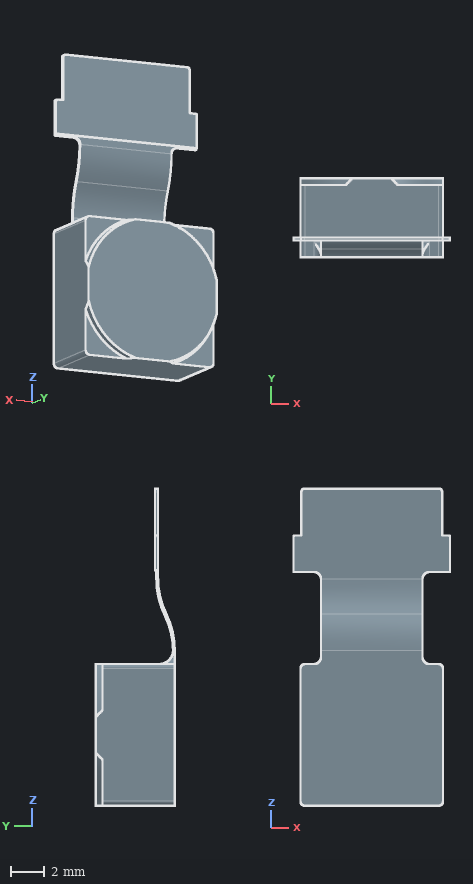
import cadquery as cq
import math

OVERALL_DEPTH = 4.75
OVERALL_HEIGHT = 19.0

BODY_WIDTH = 8.55
BODY_HEIGHT = 8.5
BODY_CORNER_RADIUS = 0.28

BOSS_HEIGHT = 0.42
BOSS_BASE_RADIUS = 4.525
BOSS_TOP_RADIUS = 4.4
BODY_DEPTH = OVERALL_DEPTH - BOSS_HEIGHT

STRIP_WIDTH = 6.1
STRIP_THICKNESS = 0.12
STRIP_OFFSET = 1.0
ROOT_SIDE_RADIUS = 0.4
ROOT_BACK_RADIUS = 0.8
NECK_RADIUS = 0.4

PLATE_WIDTH = 8.45
PLATE_WING_WIDTH = 9.4
PLATE_THICKNESS = 0.2
PLATE_HEIGHT = 5.0
PLATE_WING_HEIGHT = 2.2
PLATE_CORNER_RADIUS = 0.2
WING_CORNER_RADIUS = 0.1
SMALL_CORNER_RADIUS = 0.05
LIP_HEIGHT = 0.1

PLATE_BOTTOM = OVERALL_HEIGHT - PLATE_HEIGHT
BEND_START = BODY_HEIGHT + ROOT_BACK_RADIUS
BEND_END = PLATE_BOTTOM - NECK_RADIUS


def box_between(width, y_min, y_max, z_min, z_max):
    """Box centred on X = 0 between the given Y and Z limits."""
    size_y = y_max - y_min
    size_z = z_max - z_min
    box = cq.Workplane("XY").box(width, size_y, size_z, centered=(True, False, False))
    return box.translate((0, y_min, z_min))


def round_corner_pairs(solid, corners, y_middle):
    """Round mirrored pairs of edges along Y, each pair given as (width, height, radius)."""
    for width, z, radius in corners:
        for x in (-width / 2, width / 2):
            nearest = cq.selectors.NearestToPointSelector((x, y_middle, z))
            solid = solid.edges("|Y").edges(nearest).fillet(radius)
    return solid


def rounded_block(depth):
    """Housing outline with rounded corners, running back from the front face."""
    block = box_between(BODY_WIDTH, 0, depth, 0, BODY_HEIGHT)
    return block.edges("|Y").fillet(BODY_CORNER_RADIUS)


def make_body():
    """Housing block with the tapered boss on its back."""
    cone = cq.Solid.makeCone(
        BOSS_BASE_RADIUS,
        BOSS_TOP_RADIUS,
        BOSS_HEIGHT,
        pnt=cq.Vector(0, BODY_DEPTH, BODY_HEIGHT / 2),
        dir=cq.Vector(0, 1, 0),
    )
    boss = rounded_block(OVERALL_DEPTH).intersect(cq.Workplane(cone))
    return rounded_block(BODY_DEPTH).union(boss)


def make_strip_side_profile():
    """Side section of the strip: root fillet, S-bend and straight end, extruded along X."""
    rise = BEND_END - BEND_START
    middle_radius = (rise**2 + STRIP_OFFSET**2) / (4 * STRIP_OFFSET)
    bend_angle = math.asin(rise / (2 * middle_radius))
    inner_radius = middle_radius - STRIP_THICKNESS / 2
    outer_radius = middle_radius + STRIP_THICKNESS / 2
    lower_centre_y = STRIP_THICKNESS / 2 + middle_radius
    upper_centre_y = lower_centre_y + STRIP_OFFSET - 2 * middle_radius

    def lower_bend(radius, angle):
        return (lower_centre_y - radius * math.cos(angle), BEND_START + radius * math.sin(angle))

    def upper_bend(radius, angle):
        return (upper_centre_y + radius * math.cos(angle), BEND_END - radius * math.sin(angle))

    half_angle = bend_angle / 2
    root_centre_y = STRIP_THICKNESS + ROOT_BACK_RADIUS
    root_mid_offset = ROOT_BACK_RADIUS * math.sqrt(0.5)
    root_mid = (root_centre_y - root_mid_offset, BEND_START - root_mid_offset)
    root_bottom = BODY_HEIGHT - BODY_CORNER_RADIUS
    back_end_y = STRIP_OFFSET + STRIP_THICKNESS

    profile = (
        cq.Workplane("YZ", origin=(-BODY_WIDTH / 2, 0, 0))
        .moveTo(0, root_bottom)
        .lineTo(0, BEND_START)
        .threePointArc(lower_bend(outer_radius, half_angle), lower_bend(outer_radius, bend_angle))
        .threePointArc(upper_bend(inner_radius, half_angle), (STRIP_OFFSET, BEND_END))
        .lineTo(STRIP_OFFSET, PLATE_BOTTOM)
        .lineTo(back_end_y, PLATE_BOTTOM)
        .lineTo(back_end_y, BEND_END)
        .threePointArc(upper_bend(outer_radius, half_angle), upper_bend(outer_radius, bend_angle))
        .threePointArc(lower_bend(inner_radius, half_angle), (STRIP_THICKNESS, BEND_START))
        .threePointArc(root_mid, (root_centre_y, BODY_HEIGHT))
        .lineTo(root_centre_y, root_bottom)
        .close()
    )
    return profile.extrude(BODY_WIDTH)


def make_strip_front_outline():
    """Front outline of the strip with flared ends, extruded back through its full depth."""
    depth = ROOT_BACK_RADIUS + STRIP_OFFSET
    strip = box_between(STRIP_WIDTH, 0, depth, BODY_HEIGHT, PLATE_BOTTOM)
    root_land = box_between(BODY_WIDTH - 2 * BODY_CORNER_RADIUS, 0, depth, 0, BODY_HEIGHT)
    plate_land = box_between(PLATE_WING_WIDTH, 0, depth, PLATE_BOTTOM, OVERALL_HEIGHT)
    outline = strip.union(root_land).union(plate_land)
    corners = (
        (STRIP_WIDTH, BODY_HEIGHT, ROOT_SIDE_RADIUS),
        (STRIP_WIDTH, PLATE_BOTTOM, NECK_RADIUS),
    )
    return round_corner_pairs(outline, corners, depth / 2)


def make_strip():
    """Flexible strip, bounded by its side section and its front outline."""
    return make_strip_side_profile().intersect(make_strip_front_outline())


def make_plate():
    """Flat connector plate with rounded upper corners and a thinner lip along its lower edge."""
    y_max = STRIP_OFFSET + PLATE_THICKNESS
    wing_top = PLATE_BOTTOM + PLATE_WING_HEIGHT
    panel = box_between(PLATE_WIDTH, STRIP_OFFSET, y_max, PLATE_BOTTOM, OVERALL_HEIGHT)
    wings = box_between(PLATE_WING_WIDTH, STRIP_OFFSET, y_max, PLATE_BOTTOM, wing_top)
    corners = (
        (PLATE_WIDTH, OVERALL_HEIGHT, PLATE_CORNER_RADIUS),
        (PLATE_WING_WIDTH, wing_top, WING_CORNER_RADIUS),
        (PLATE_WIDTH, wing_top, SMALL_CORNER_RADIUS),
        (PLATE_WING_WIDTH, PLATE_BOTTOM, SMALL_CORNER_RADIUS),
    )
    y_middle = (STRIP_OFFSET + y_max) / 2
    plate = round_corner_pairs(panel.union(wings), corners, y_middle)
    lip_back = STRIP_OFFSET + STRIP_THICKNESS
    lip_step = box_between(PLATE_WING_WIDTH, lip_back, y_max, PLATE_BOTTOM, PLATE_BOTTOM + LIP_HEIGHT)
    return plate.cut(lip_step)


result = make_body().union(make_strip()).union(make_plate())